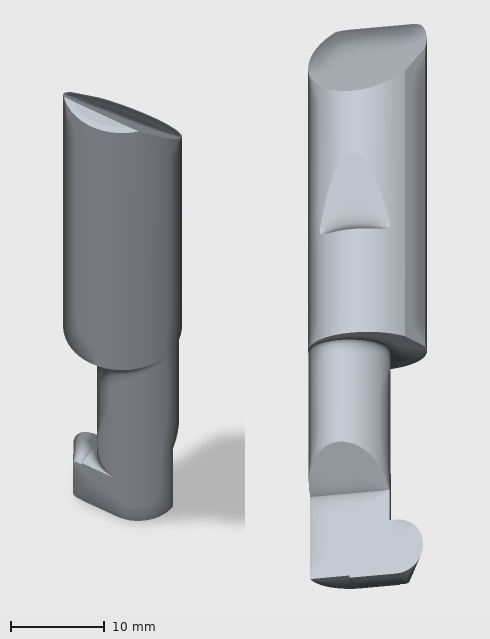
import cadquery as cq
import math

total_height = 63.4
shank_radius = 6.35
shank_bottom = 25.35
top_chamfer_width = 0.65
top_chamfer_height = 0.2
bevel_top_y = -4.45
flat_end_y = 3.7

notch_bottom = 37.0
notch_top = 45.65
notch_deep_z = 37.85
notch_depth = 1.3
notch_radius = 0.5

neck_radius = 4.4
neck_x = shank_radius - neck_radius
neck_bottom = 0.25
neck_cut_z = 9.5

nose_tip_x = -6.15
nose_height = 6.1
nose_radius = 3.0
head_top = 6.2
nose_front_x = -3.5
nose_front_bottom = 0.3
nose_front_top = 5.95
nose_front_radius = 0.45

clearance = 0.65


def prism_along_x(yz_points):
    """Prism wider than the shank, with its section in the YZ plane."""
    half_width = shank_radius + clearance
    return cq.Workplane("YZ").polyline(yz_points).close().extrude(half_width, both=True)


def make_shank():
    """Cylinder with a chamfered top, a 45 degree bevel, a side flat and a notch."""
    shank = (
        cq.Workplane("XZ")
        .moveTo(0, shank_bottom)
        .lineTo(shank_radius, shank_bottom)
        .lineTo(shank_radius, total_height - top_chamfer_height)
        .lineTo(shank_radius - top_chamfer_width, total_height)
        .lineTo(0, total_height)
        .close()
        .revolve()
    )

    back_y = shank_radius + clearance
    bevel = prism_along_x([
        (bevel_top_y - clearance, total_height + clearance),
        (back_y, total_height + bevel_top_y - back_y),
        (back_y, total_height + clearance),
    ])

    flat_end_x = -math.sqrt(shank_radius**2 - flat_end_y**2)
    side_flat = (
        cq.Workplane("XY")
        .polyline([
            (-shank_radius, 0),
            (flat_end_x, flat_end_y),
            (-shank_radius, flat_end_y),
        ])
        .close()
        .extrude(total_height)
    )

    notch_floor_y = shank_radius - notch_depth
    notch = prism_along_x([
        (shank_radius, notch_bottom),
        (notch_floor_y, notch_bottom),
        (notch_floor_y, notch_deep_z),
        (shank_radius, notch_top),
    ])
    notch = notch.edges("|X").edges("<Y").edges("<Z").fillet(notch_radius)
    return shank.cut(bevel).cut(side_flat).cut(notch)


def make_neck():
    """Eccentric cylinder whose +Y half is removed at the lower end."""
    neck = (
        cq.Workplane("XY", origin=(neck_x, 0, neck_bottom))
        .circle(neck_radius)
        .extrude(shank_bottom - neck_bottom)
    )
    relief = prism_along_x([
        (0, 0),
        (0, neck_cut_z),
        (neck_radius, neck_cut_z + neck_radius),
        (neck_radius, 0),
    ])
    return neck.cut(relief)


def nose_outline(plane, left_x, bottom, top, corner_radius):
    """Rectangle with both left corners rounded, reaching right to the neck axis."""
    arc_x = left_x + corner_radius
    mid_x = arc_x - corner_radius * math.cos(math.pi / 4)
    arc_inset = corner_radius * (1 - math.sin(math.pi / 4))
    return (
        plane.moveTo(neck_x, bottom)
        .lineTo(arc_x, bottom)
        .threePointArc((mid_x, bottom + arc_inset), (left_x, bottom + corner_radius))
        .lineTo(left_x, top - corner_radius)
        .threePointArc((mid_x, top - arc_inset), (arc_x, top))
        .lineTo(neck_x, top)
        .close()
    )


def make_head():
    """Round nose relieved away from the rake face, backed by a square block."""
    rake_plane = cq.Workplane("XZ")
    rake_outline = nose_outline(rake_plane, nose_tip_x, 0, nose_height, nose_radius)
    front_plane = rake_outline.workplane(offset=neck_radius, origin=(0, 0, 0))
    nose = nose_outline(
        front_plane, nose_front_x, nose_front_bottom, nose_front_top, nose_front_radius
    ).loft(ruled=True)

    block_left_x = neck_x - neck_radius
    block = cq.Workplane("XY").box(
        neck_radius, neck_radius, head_top - neck_bottom, centered=False
    )
    block = block.translate((block_left_x, -neck_radius, neck_bottom))
    return nose.union(block)


result = make_shank().union(make_neck()).union(make_head())